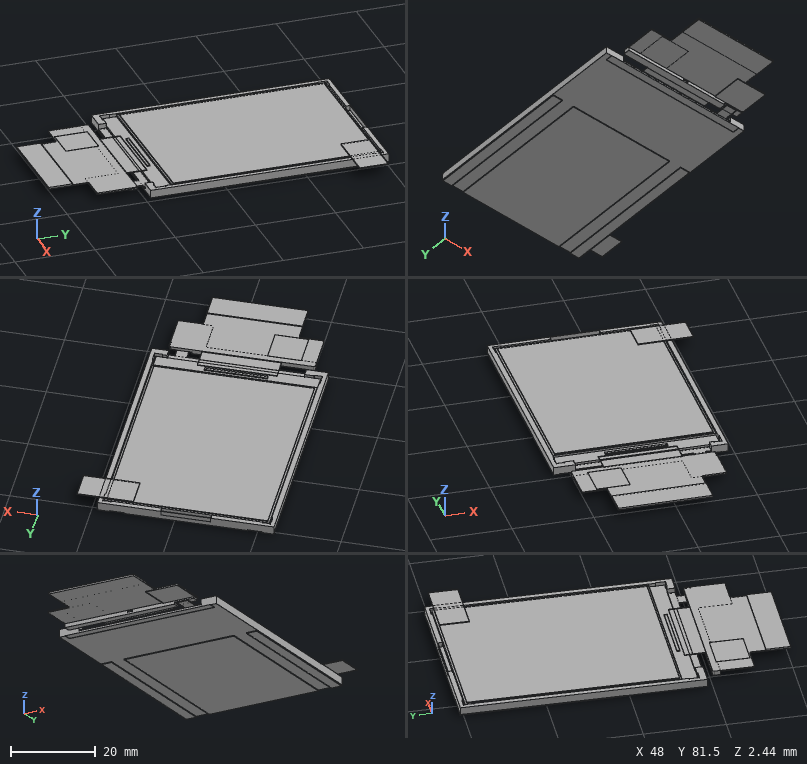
import cadquery as cq


pad_thickness = 0.21
frame_height = 2.0
frame_bottom = pad_thickness
strip_bottom = 0.77
strip_thickness = 0.25
pocket_floor = strip_bottom + strip_thickness
cell_top = 1.55
filter_top = 2.0
frame_top = frame_bottom + frame_height
tab_thickness = 0.23

frame_width = 42.7
frame_depth = 59.5
pocket_width = 40.1
pocket_front = 1.95
pocket_back = 58.25
relief_width = 1.95
relief_length = 2.45
relief_depth = 0.2
front_notch_left = -16.0
front_notch_right = 17.2
back_recess_width = 12.05
lip_thickness = 0.2
heel_width = 39.4
heel_top = 0.285
pad_front = 19.5
centre_pad_width = 29.8
side_pad_width = 2.85
side_pad_inset = 0.2

panel_width = 39.75
panel_back = 58.0
filter_front = 5.9
polarizer_margin = 0.5
chip_width = 15.2
chip_front = 3.9
chip_back = 4.65
chip_height = 0.25

overall_length = 81.5
flex_bottom = cell_top
layer_step = 0.04
bond_top = 1.7
neck_top = bond_top + layer_step
board_top = neck_top + layer_step
neck_width = 19.2
bond_back = 3.2
bond_front = 1.2
board_width = 35.35
board_back = -1.95
board_front = -12.05
tongue_width = 23.1
tongue_front = frame_depth - overall_length
corner_radius = 0.4
stiffener_back = -16.0
stiffener_top = 2.0
label_left = -14.0
label_size = 8.15
label_back = -3.5
label_thickness = 0.04

bar_right = 12.1
bar_depth = 1.9
bar_bottom = 0.6
slot_width = 1.3
slot_bottom = 1.05
cover_left = 9.05
cover_bottom = 1.4
solder_pad_width = 5.3

tail_left = 12.8
tail_right = 15.7

overall_width = 48.0
tab_left = 13.0
tab_right = overall_width - frame_width / 2
tab_front = 50.35


def block(x_range, y_range, z_range):
    """Box between two X, two Y and two Z values."""
    (x0, x1), (y0, y1), (z0, z1) = x_range, y_range, z_range
    return cq.Workplane("XY").box(x1 - x0, y1 - y0, z1 - z0, centered=False).translate((x0, y0, z0))


def centred(width):
    """X range of a feature centred on the frame."""
    return (-width / 2, width / 2)


def cut_corner_reliefs(body):
    """Widen the pocket slightly at each of its four corners."""
    half_reach = pocket_width / 2 + relief_depth
    front_y = pocket_front - relief_depth
    back_y = pocket_back + relief_depth
    for left in (-half_reach, half_reach - relief_width):
        for front in (front_y, back_y - relief_length):
            relief_x = (left, left + relief_width)
            relief_y = (front, front + relief_length)
            body = body.cut(block(relief_x, relief_y, (pocket_floor, frame_top)))
    return body


def make_frame():
    """Backlight frame: a tray for the panel, with pads under its rear part."""
    body = block(centred(frame_width), (0, frame_depth), (frame_bottom, frame_top))

    pocket_z = (pocket_floor, frame_top)
    body = body.cut(block(centred(pocket_width), (pocket_front, pocket_back), pocket_z))
    body = cut_corner_reliefs(body)

    notch_x = (front_notch_left, front_notch_right)
    body = body.cut(block(notch_x, (0, pocket_front), (strip_bottom, frame_top)))

    recess_y = (pocket_back, frame_depth - lip_thickness)
    body = body.cut(block(centred(back_recess_width), recess_y, pocket_z))

    body = body.cut(block(centred(heel_width), (0, pocket_front), (frame_bottom, heel_top)))

    pad_y = (pad_front, frame_depth)
    pad_z = (0, frame_bottom)
    side_pad_edge = frame_width / 2 - side_pad_inset
    body = body.union(block(centred(centre_pad_width), pad_y, pad_z))
    for pad_left in (-side_pad_edge, side_pad_edge - side_pad_width):
        body = body.union(block((pad_left, pad_left + side_pad_width), pad_y, pad_z))
    return body


def make_panel():
    """Display panel: cell glass, filter glass, polarizer and driver chip."""
    cell = block(centred(panel_width), (pocket_front, panel_back), (pocket_floor, cell_top))
    colour_filter = block(centred(panel_width), (filter_front, panel_back), (cell_top, filter_top))
    polarizer = block(
        centred(panel_width - 2 * polarizer_margin),
        (filter_front + polarizer_margin, panel_back - polarizer_margin),
        (filter_top, frame_top),
    )
    chip = block(centred(chip_width), (chip_front, chip_back), (cell_top, cell_top + chip_height))
    return cell.union(colour_filter).union(polarizer).union(chip)


def make_flex_sheet():
    """Wide board with its contact tongue, and the thinner neck bonded to the glass."""
    board_z = (flex_bottom, board_top)
    board = block(centred(board_width), (board_front, board_back), board_z)
    board = board.edges("|Z").fillet(corner_radius)
    tongue = block(centred(tongue_width), (tongue_front, board_front), board_z)
    sheet = board.union(tongue)

    for x in centred(tongue_width):
        corner = cq.selectors.NearestToPointSelector((x, board_front, (flex_bottom + board_top) / 2))
        sheet = sheet.edges("|Z").edges(corner).fillet(corner_radius)

    neck = block(centred(neck_width), (board_back, bond_front), (flex_bottom, neck_top))
    bond = block(centred(neck_width), (bond_front, bond_back), (flex_bottom, bond_top))
    return sheet.union(neck).union(bond)


def make_flex_underside():
    """Slotted bar along the board's rear edge, solder pad beside it and cover on the right wing."""
    board_left, board_right = centred(board_width)
    bar_front = board_back - bar_depth
    bar_y = (bar_front, board_back)
    bar = block((board_left, bar_right), bar_y, (bar_bottom, flex_bottom))
    bar = bar.edges("|Z and <X and >Y").fillet(corner_radius)
    bar = bar.cut(block(centred(slot_width), bar_y, (slot_bottom, cover_bottom)))

    solder_pad = block((bar_right, bar_right + solder_pad_width), bar_y, (pocket_floor, flex_bottom))
    cover = block((cover_left, board_right), (board_front, bar_front), (cover_bottom, flex_bottom))
    cover = cover.edges("|Z and >X and <Y").fillet(corner_radius)
    return bar.union(solder_pad).union(cover)


def make_flex():
    """Main flex with its contact stiffener, label and the parts under it."""
    stiffener = block(centred(tongue_width), (tongue_front, stiffener_back), (board_top, stiffener_top))
    label = block(
        (label_left, label_left + label_size),
        (label_back - label_size, label_back),
        (board_top, board_top + label_thickness),
    )
    return make_flex_sheet().union(make_flex_underside()).union(stiffener).union(label)


def make_light_strip():
    """Light strip lying in the front notch, with a tail that runs out to the solder pad."""
    strip_z = (strip_bottom, pocket_floor)
    strip = block((front_notch_left, front_notch_right), (0, pocket_front), strip_z)
    tail = block((tail_left, tail_right), (board_back - bar_depth, 0), strip_z)
    return strip.union(tail)


def make_pull_tab():
    """Tab on the polarizer that overhangs the frame on the right."""
    tab_back = panel_back - polarizer_margin
    return block((tab_left, tab_right), (tab_front, tab_back), (frame_top, frame_top + tab_thickness))


frame = make_frame()
panel = make_panel()
main_flex = make_flex()
light_strip = make_light_strip()
pull_tab = make_pull_tab()

result = cq.Compound.makeCompound(
    [frame.val(), panel.val(), main_flex.val(), light_strip.val(), pull_tab.val()]
)